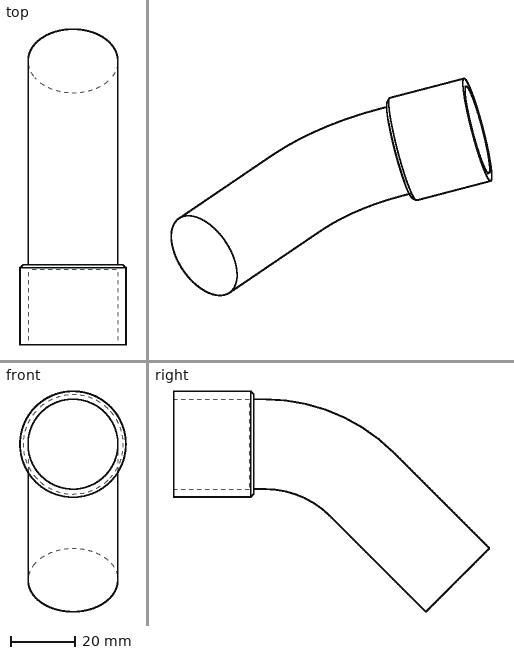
import cadquery as cq
import math

pipe_diameter = 28.0
socket_diameter = 33.0
socket_length = 24.9
socket_chamfer = 1.0
bore_depth = 23.6
neck_length = 3.4
bend_radius = 42.7
bend_angle = 45.0
tail_length = 42.0

bend_start = socket_length + neck_length


def bend_point(angle):
    """Centreline (y, z) after the bend has turned through an angle in degrees."""
    turn = math.radians(angle)
    y = bend_start + bend_radius * math.sin(turn)
    z = -bend_radius * (1 - math.cos(turn))
    return y, z


def cylinder_along_y(diameter, start, length):
    """Round bar on the Y axis, starting at the given Y."""
    return cq.Workplane("XZ", origin=(0, start, 0)).circle(diameter / 2).extrude(-length)


def make_socket():
    """Enlarged end with a chamfered rear shoulder."""
    socket = cylinder_along_y(socket_diameter, 0, socket_length)
    return socket.faces(">Y").chamfer(socket_chamfer)


def make_neck():
    """Short straight pipe between the socket and the bend."""
    return cylinder_along_y(pipe_diameter, socket_length, neck_length)


def make_bend():
    """Elbow revolved about an X-parallel axis below the neck."""
    profile = cq.Workplane("XZ", origin=(0, bend_start, 0)).circle(pipe_diameter / 2)
    return profile.revolve(bend_angle, (1, -bend_radius, 0), (-1, -bend_radius, 0))


def make_tail():
    """Straight pipe that leaves the bend along its final tangent."""
    y, z = bend_point(bend_angle)
    turn = math.radians(bend_angle)
    direction = (0, math.cos(turn), -math.sin(turn))
    end_plane = cq.Plane(origin=(0, y, z), xDir=(1, 0, 0), normal=direction)
    return cq.Workplane(end_plane).circle(pipe_diameter / 2).extrude(tail_length)


body = make_socket().union(make_neck()).union(make_bend()).union(make_tail())

result = body.cut(cylinder_along_y(pipe_diameter, 0, bore_depth))